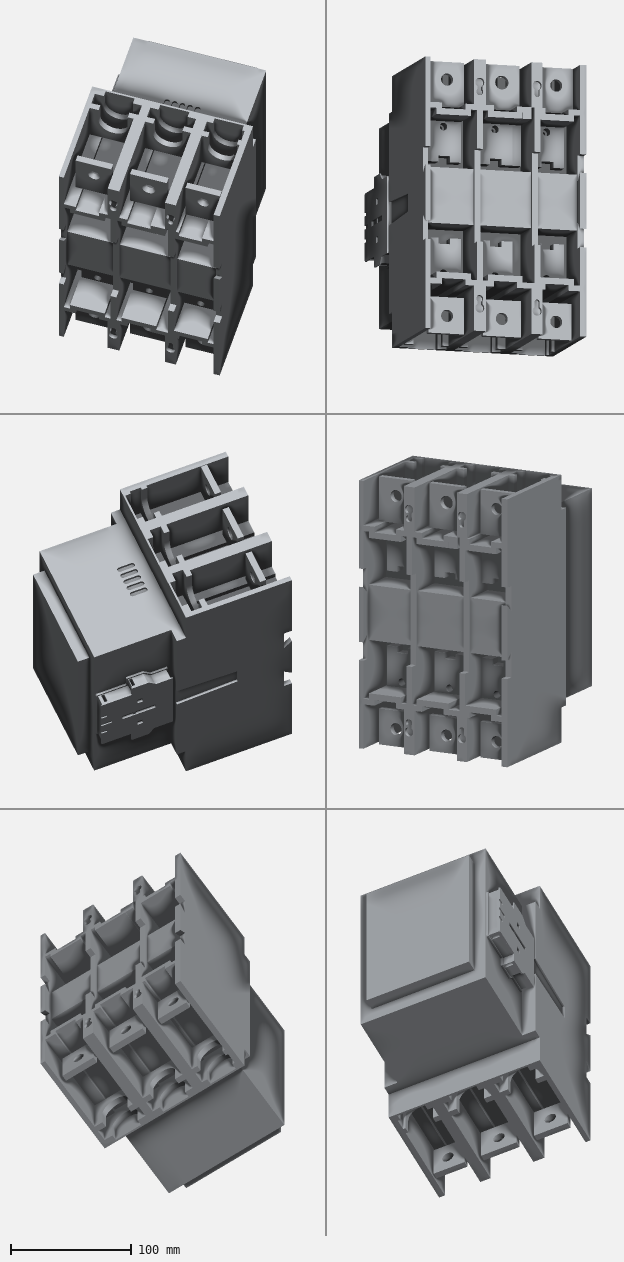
import cadquery as cq

WIDTH = 140.0
HEIGHT = 230.0
HALF_HEIGHT = HEIGHT / 2
BASE_DEPTH = 96.0
LEDGE_Y = 104.2
UPPER_Y = 173.9
TOTAL_DEPTH = 184.2
UPPER_HEIGHT = 169.7
UPPER_INSET = 12.2
COVER_INSET = 22.5
COVER_HEIGHT = 140.3

FIRST_POLE_X = 24.8
POLE_PITCH = 44.8
POLES = [FIRST_POLE_X + i * POLE_PITCH for i in range(3)]
SIDES = (1, -1)

CELL_SPANS = [(4.4, 45.0), (50.1, 95.0), (100.3, 134.8)]
CELL_FLOOR_Y = 40.0
CELL_TOP_Z = 72.0
CORE_HALF_HEIGHT = 23.7
CORE_FRONT_Y = 10.0
HAT_WIDTH = 30.1
HAT_BOTTOM_Z = 66.7

PAD_WIDTH = 29.5
PAD_OFFSET = 0.7
PAD_INNER_Z = 32.2
PAD_FRONT_Y = 30.0
KEY_WIDTH = 10.4
KEY_HEIGHT = 5.0
SCREW_HOLE_RADIUS = 3.2
SCREW_HOLE_Z = 62.0
SCREW_HOLE_DEPTH = 9.2
SCREW_BORE_RADIUS = 1.5
SCREW_BORE_DEPTH = 4.5

FILLER_SPAN = (POLES[1] + PAD_OFFSET + PAD_WIDTH / 2, 92.5)
FILLER_FRONT_Y = 30.5

CHAMBER_SPANS = [(4.4, 42.5), (52.7, 92.5), (102.0, 134.8)]
GROOVE_SPANS = [(4.4, 45.3), (52.7, 92.5), (102.0, 134.8)]
CHAMBER_FLOOR_Z = 76.8
CHAMBER_DEPTH = 74.3
GROOVE_Y = (79.4, 89.2)
SLOT_END_Y = 94.3
SLOT_RADIUS = 12.6
NOTCH_WIDTH = 20.2

TERMINAL_X = [24.8, 72.5, 119.8]
TERMINAL_Z = 100.0
PLATE_Y = 19.5
PLATE_THICKNESS = 5.5
UPPER_PLATE_SPANS = [(8.7, 39.8), (56.1, 88.0), (104.5, 134.3)]
LOWER_PLATE_SPANS = [(8.7, 39.8), (56.1, 89.0), (104.5, 133.0)]
LOWER_PLATE_TOP_Z = 84.2
PLATE_HOLE_DIAMETER = 10.4
WIDE_PLATE_HOLE_DIAMETER = 11.5

KEYHOLE_DEPTH = 3.5
KEYHOLE_Z = 95.5
KEYHOLE_RADIUS = 4.0
KEYHOLE_NECK = 4.4
LEFT_KEYHOLE_X = 47.4
LEFT_KEYHOLE_END_Z = 87.6
LEFT_KEYHOLE_END_RADIUS = 3.0
RIGHT_KEYHOLE_X = 97.3
RIGHT_KEYHOLE_END_Z = 87.9

RAIL_DEPTH = 7.1
RAIL_OUTER_Z = 39.3
RAIL_TOOTH_TIP_Z = 23.7
RAIL_TOOTH_ROOT_Z = 17.7

FLANK_DEPTH = 2.0
FLANK_TIP_Y = 49.2
FLANK_WIDE_HALF = 10.0
FLANK_TIP_HALF = 7.5
VENT_COUNT = 5
VENT_PITCH = 6.7
VENT_X = 71.3
VENT_Y = 114.0
VENT_LENGTH = 15.6
VENT_WIDTH = 4.4
VENT_DEPTH = 2.3

MODULE_LEFT_X = -0.5
FACE_PLATE_X = 0.7
REAR_PLATE_X = 10.4
MODULE_NEAR_Y = 108.0
MODULE_FAR_Y = 172.7
MODULE_STEP_Y = 145.4
MODULE_SLOPE_Y = 129.7
UPPER_SLOPE_END_Y = 123.0
LOWER_SLOPE_END_Y = 125.0
MODULE_FAR_HALF = 29.0
MODULE_TALL_HALF = 38.5
MODULE_NEAR_HALF = 32.5
MODULE_CORNER = 1.0
BODY_INSET = 1.4
WINDOW_SPAN = (2.8, 10.0)
WINDOW_THICKNESS = 2.8
WINDOW_CENTRES_Y = (142.1, 167.2)
MARK_DEPTH = 2.0
EDGE_SLOT_DEPTH = 1.0
SQUARE_SIZE = 5.0
SQUARE_Y = 137.8
SQUARE_Z = 16.0
LONG_SLOT_Y = (123.5, 153.9)
LONG_SLOT_HEIGHT = 4.5
LONG_SLOT_BAR_Y = (141.0, 143.5)
LONG_SLOT_BAR_SINK = 1.0
EDGE_SLOT_HEIGHT = 3.0
EDGE_SLOT_Z = 11.3
EDGE_SLOT_LENGTH = 5.3
MIDDLE_EDGE_SLOT_LENGTH = 9.7


def block(x0, x1, y0, y1, z0, z1):
    """Box between two corners; each pair may be given in either order."""
    size = (abs(x1 - x0), abs(y1 - y0), abs(z1 - z0))
    return cq.Workplane("XY").box(*size, centered=False).translate((min(x0, x1), min(y0, y1), min(z0, z1)))


def cylinder(x, z, radius, y0, y1):
    """Cylinder along Y."""
    return cq.Workplane("XZ", origin=(x, y0, z)).circle(radius).extrude(y0 - y1)


def housing_envelope():
    base = block(0, WIDTH, 0, BASE_DEPTH, -HALF_HEIGHT, HALF_HEIGHT)
    ledge = block(0, WIDTH, 0, LEDGE_Y, -UPPER_HEIGHT / 2, UPPER_HEIGHT / 2)
    upper = block(UPPER_INSET, WIDTH - UPPER_INSET, 0, UPPER_Y, -UPPER_HEIGHT / 2, UPPER_HEIGHT / 2)
    cover = block(COVER_INSET, WIDTH - COVER_INSET, 0, TOTAL_DEPTH, -COVER_HEIGHT / 2, COVER_HEIGHT / 2)
    return base.union(ledge).union(upper).union(cover)


def screw_hole(x, z):
    """Stepped blind hole in a pad."""
    hole_end = PAD_FRONT_Y + SCREW_HOLE_DEPTH
    hole = cylinder(x, z, SCREW_HOLE_RADIUS, PAD_FRONT_Y, hole_end)
    return hole.union(cylinder(x, z, SCREW_BORE_RADIUS, PAD_FRONT_Y, hole_end + SCREW_BORE_DEPTH))


def keyed_pad(pole, side):
    """Rectangular pad with a keyway in its inner edge."""
    centre = POLES[pole] + PAD_OFFSET
    left = max(CELL_SPANS[pole][0], centre - PAD_WIDTH / 2)
    right = centre + PAD_WIDTH / 2
    inner_z = side * PAD_INNER_Z
    pad = block(left, right, PAD_FRONT_Y, CELL_FLOOR_Y, inner_z, side * HAT_BOTTOM_Z)
    key_left = centre - KEY_WIDTH / 2
    key_end_z = side * (PAD_INNER_Z + KEY_HEIGHT)
    return pad.cut(block(key_left, key_left + KEY_WIDTH, PAD_FRONT_Y, CELL_FLOOR_Y, inner_z, key_end_z))


def cell_cut(pole, side):
    """Pocket between the core block and the terminal chamber wall, leaving the keyed pad with its screw hole."""
    centre = POLES[pole]
    left, right = CELL_SPANS[pole]
    hat_left = centre - HAT_WIDTH / 2
    hat_z = side * HAT_BOTTOM_Z
    cell_z = side * CELL_TOP_Z
    pocket = block(left, right, 0, CELL_FLOOR_Y, side * CORE_HALF_HEIGHT, cell_z)
    pocket = pocket.cut(block(hat_left, hat_left + HAT_WIDTH, 0, CELL_FLOOR_Y, hat_z, cell_z))
    pocket = pocket.cut(keyed_pad(pole, side))
    if pole == 1 and side == 1:
        pocket = with_filler_rib(pocket, right)
    return pocket.union(screw_hole(centre, side * SCREW_HOLE_Z))


def with_filler_rib(pocket, cell_right):
    """Leave a stepped rib in the pocket and a narrow slit between the rib and the web."""
    left, right = FILLER_SPAN
    rib_top = block(left, right, 0, CELL_FLOOR_Y, HAT_BOTTOM_Z, CELL_TOP_Z)
    rib = block(left, right, FILLER_FRONT_Y, CELL_FLOOR_Y, PAD_INNER_Z, HAT_BOTTOM_Z)
    slit = block(right, cell_right, 0, CELL_FLOOR_Y, HAT_BOTTOM_Z, CHAMBER_FLOOR_Z)
    return pocket.cut(rib_top).cut(rib).union(slit)


def terminal_cut(pole, side):
    """Open-ended terminal chamber, the cross groove behind it, and the U slot through both walls."""
    left, right = CHAMBER_SPANS[pole]
    groove_left, groove_right = GROOVE_SPANS[pole]
    groove_start, groove_end = GROOVE_Y
    floor_z = side * CHAMBER_FLOOR_Z
    end_z = side * HALF_HEIGHT
    chamber = block(left, right, 0, CHAMBER_DEPTH, floor_z, end_z)
    groove = block(groove_left, groove_right, groove_start, groove_end, floor_z, end_z)

    notch_left = POLES[pole] - NOTCH_WIDTH / 2
    notch_right = POLES[pole] + NOTCH_WIDTH / 2
    notch = block(notch_left, notch_right, 0, groove_end, side * CELL_TOP_Z, floor_z)

    axis_x = TERMINAL_X[pole]
    slot_bottom = cylinder(axis_x, side * TERMINAL_Z, SLOT_RADIUS, CHAMBER_DEPTH, SLOT_END_Y)
    slot_left = axis_x - SLOT_RADIUS
    slot_right = axis_x + SLOT_RADIUS
    slot = block(slot_left, slot_right, CHAMBER_DEPTH, SLOT_END_Y, side * TERMINAL_Z, end_z)
    return chamber.union(groove).union(notch).union(slot.union(slot_bottom))


def keyhole_cut(x, side, end_z, end_radius):
    neck = block(x - KEYHOLE_NECK / 2, x + KEYHOLE_NECK / 2, 0, KEYHOLE_DEPTH, side * KEYHOLE_Z, side * end_z)
    head = cylinder(x, side * KEYHOLE_Z, KEYHOLE_RADIUS, 0, KEYHOLE_DEPTH)
    end = cylinder(x, side * end_z, end_radius, 0, KEYHOLE_DEPTH)
    return neck.union(head).union(end)


def rail_cut(side):
    """Undercut rail groove along X."""
    outline = [
        (0, side * RAIL_OUTER_Z),
        (RAIL_DEPTH, side * RAIL_OUTER_Z),
        (RAIL_DEPTH, side * RAIL_TOOTH_ROOT_Z),
        (0, side * RAIL_TOOTH_TIP_Z),
    ]
    return cq.Workplane("YZ").polyline(outline).close().extrude(WIDTH)


def rail_clearance():
    """Clears the rail seat between the outer walls, so that only those carry rail teeth."""
    wall_left = CELL_SPANS[0][0]
    wall_right = CELL_SPANS[-1][1]
    return block(wall_left, wall_right, 0, RAIL_DEPTH, -RAIL_OUTER_Z, RAIL_OUTER_Z)


def flank_cut():
    """Shallow tapered recess in the left flank."""
    outline = [
        (LEDGE_Y, FLANK_WIDE_HALF),
        (FLANK_TIP_Y, FLANK_TIP_HALF),
        (FLANK_TIP_Y, -FLANK_TIP_HALF),
        (LEDGE_Y, -FLANK_WIDE_HALF),
    ]
    return cq.Workplane("YZ").polyline(outline).close().extrude(FLANK_DEPTH)


def vent_cuts():
    return (
        cq.Workplane("XY", origin=(VENT_X, VENT_Y, UPPER_HEIGHT / 2))
        .rarray(VENT_PITCH, 2.3, VENT_COUNT, 1)
        .slot2D(VENT_LENGTH, VENT_WIDTH, 90)
        .extrude(-VENT_DEPTH)
    )


def make_housing():
    housing = housing_envelope()
    for pole, (left, right) in enumerate(CELL_SPANS):
        housing = housing.cut(block(left, right, 0, CORE_FRONT_Y, -CORE_HALF_HEIGHT, CORE_HALF_HEIGHT))
        for side in SIDES:
            housing = housing.cut(cell_cut(pole, side)).cut(terminal_cut(pole, side))
    for side in SIDES:
        housing = housing.cut(keyhole_cut(LEFT_KEYHOLE_X, side, LEFT_KEYHOLE_END_Z, LEFT_KEYHOLE_END_RADIUS))
        housing = housing.cut(keyhole_cut(RIGHT_KEYHOLE_X, side, RIGHT_KEYHOLE_END_Z, KEYHOLE_NECK / 2))
        housing = housing.cut(rail_cut(side))
    return housing.cut(rail_clearance()).cut(flank_cut()).cut(vent_cuts())


def make_plate(span, x, side, inner_z, hole_diameter):
    """Terminal plate reaching the end of its chamber, with a hole on the terminal axis."""
    end_y = PLATE_Y + PLATE_THICKNESS
    plate = block(*span, PLATE_Y, end_y, side * inner_z, side * HALF_HEIGHT)
    return plate.cut(cylinder(x, side * TERMINAL_Z, hole_diameter / 2, PLATE_Y, end_y))


def make_plates():
    plates = []
    for pole, x in enumerate(TERMINAL_X):
        upper_hole = WIDE_PLATE_HOLE_DIAMETER if pole == 1 else PLATE_HOLE_DIAMETER
        upper = make_plate(UPPER_PLATE_SPANS[pole], x, 1, CHAMBER_FLOOR_Z, upper_hole)
        lower = make_plate(LOWER_PLATE_SPANS[pole], x, -1, LOWER_PLATE_TOP_Z, PLATE_HOLE_DIAMETER)
        plates += [upper.solids().val(), lower.solids().val()]
    return plates


def module_outline(x):
    """Closed outline of the side module in the plane at X = x."""
    bevel_y = MODULE_FAR_Y - MODULE_CORNER
    bevel_z = MODULE_FAR_HALF - MODULE_CORNER
    outline = [
        (MODULE_NEAR_Y, MODULE_NEAR_HALF),
        (UPPER_SLOPE_END_Y, MODULE_NEAR_HALF),
        (MODULE_SLOPE_Y, MODULE_TALL_HALF),
        (MODULE_STEP_Y, MODULE_TALL_HALF),
        (MODULE_STEP_Y, MODULE_FAR_HALF),
        (bevel_y, MODULE_FAR_HALF),
        (MODULE_FAR_Y, bevel_z),
        (MODULE_FAR_Y, -bevel_z),
        (bevel_y, -MODULE_FAR_HALF),
        (MODULE_STEP_Y, -MODULE_FAR_HALF),
        (MODULE_STEP_Y, -MODULE_TALL_HALF),
        (MODULE_SLOPE_Y, -MODULE_TALL_HALF),
        (LOWER_SLOPE_END_Y, -MODULE_NEAR_HALF),
        (MODULE_NEAR_Y, -MODULE_NEAR_HALF),
    ]
    return cq.Workplane("YZ", origin=(x, 0, 0)).polyline(outline).close()


def face_mark(y0, y1, z, height, depth=MARK_DEPTH):
    """Shallow rectangular recess in the outer face of the side module."""
    return block(MODULE_LEFT_X, MODULE_LEFT_X + depth, y0, y1, z - height / 2, z + height / 2)


def edge_slot(z, length):
    return face_mark(MODULE_FAR_Y - length, MODULE_FAR_Y, z, EDGE_SLOT_HEIGHT, EDGE_SLOT_DEPTH)


def make_side_module():
    face_plate = module_outline(MODULE_LEFT_X).extrude(FACE_PLATE_X - MODULE_LEFT_X)
    body = module_outline(FACE_PLATE_X).offset2D(-BODY_INSET, "intersection").extrude(REAR_PLATE_X - FACE_PLATE_X)
    rear_plate = module_outline(REAR_PLATE_X).extrude(UPPER_INSET - REAR_PLATE_X)
    module = face_plate.union(body).union(rear_plate)

    for y in WINDOW_CENTRES_Y:
        y0 = y - WINDOW_THICKNESS / 2
        module = module.cut(block(*WINDOW_SPAN, y0, y0 + WINDOW_THICKNESS, -MODULE_TALL_HALF, MODULE_TALL_HALF))

    for side in SIDES:
        half = SQUARE_SIZE / 2
        module = module.cut(face_mark(SQUARE_Y - half, SQUARE_Y + half, side * SQUARE_Z, SQUARE_SIZE))
        module = module.cut(edge_slot(side * EDGE_SLOT_Z, EDGE_SLOT_LENGTH))
    module = module.cut(edge_slot(0, MIDDLE_EDGE_SLOT_LENGTH))

    bar = face_mark(*LONG_SLOT_BAR_Y, 0, LONG_SLOT_HEIGHT).translate((LONG_SLOT_BAR_SINK, 0, 0))
    return module.cut(face_mark(*LONG_SLOT_Y, 0, LONG_SLOT_HEIGHT).cut(bar))


housing = make_housing()
side_module = make_side_module()
terminal_plates = make_plates()

result = cq.Compound.makeCompound([housing.solids().val(), side_module.solids().val(), *terminal_plates])